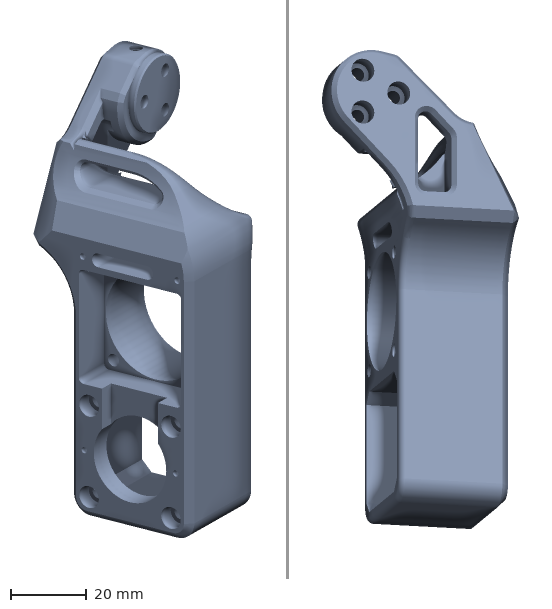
import cadquery as cq
import math

TOTAL_WIDTH = 51.15
TOTAL_HEIGHT = 117.7
BODY_LEFT = 13.0
BODY_DEPTH = 30.0
BODY_MID_X = (BODY_LEFT + TOTAL_WIDTH) / 2
BOTTOM_RADIUS = 5.3
FRONT_CHAMFER = 2.0
BACK_RADIUS = 1.6
SIN_45 = math.sin(math.pi / 4)
TAN_22 = math.tan(math.pi / 8)

FLANK_RADIUS = 18.5
FLANK_START_Z = 56.3
FLANK_TIP_X = 1.9
PLATE_BOTTOM_Z = 76.2

RIDGE_Z = 100.2
SHOULDER_TOP_X = 32.9
SHOULDER_TOP_RADIUS = 22.5
SHOULDER_SIDE_RADIUS = 18.5

FRONT_EDGE_Z = 79.4
HOOD_KNEE = (4.0, 86.4)
FRONT_FLANK_MID = (9.1, 92.0)
FRONT_RIDGE = (12.3, 99.5)
RIDGE_FRONT_Y = 13.9
RIDGE_EDGE_MIN_Y = 15.1
BACK_FLANK_RADIUS = 25.0
BACK_EDGE_RADIUS = 2.0
BACK_BEND_RADIUS = 24.0

HEAD_Y = 40.0
HEAD_RADIUS = 11.5
HEAD_Z = TOTAL_HEIGHT - HEAD_RADIUS
PLATE_THICKNESS = 6.3
HEAD_THICKNESS = 12.1
PAD_RADIUS = 14.5
PLATE_CHAMFER = 1.2
NECK_CHAMFER = 1.5
STEP_CORNER = (25.8, 109.2)
STEP_CHAMFER = 1.3
BOSS_RADIUS = 10.85
BOSS_END_X = 14.2
BOSS_CHAMFER = 0.4
HEAD_FLAT_ANGLE = math.radians(12)
HEAD_SHOULDER = (33.5, 116.6)
HEAD_SHOULDER_RADIUS = 3.0
NECK_BLEND_START = (18.6, 102.4)
NECK_BLEND_MID = (16.3, 100.6)
ROOT_RADIUS = 2.0

ARM_BOLT_CIRCLE_RADIUS = 6.5
ARM_BOLT_DIAMETER = 3.7
BOLT_HEAD_DIAMETER = 6.2
ARM_BOLT_HEAD_DEPTH = 6.0
CROSS_HOLE_X = 7.2
CROSS_HOLE_DIAMETER = 2.4
CROSS_HOLE_MOUTH_DIAMETER = 3.6
CROSS_HOLE_MOUTH_DEPTH = 1.0

WINDOW_CHAMFER = 1.2
WINDOW_CORNER = 2.0
WINDOW_MIN_Y = 18.9
WINDOW_MAX_Y = 27.9
WINDOW_BOTTOM_Z = 80.4
WINDOW_SHOULDER_Z = 95.9
WINDOW_TOP_Z = 101.9

CORNER_LOW = (0, 2.2, 76.2)
CORNER_HIGH = (0, 13.2, 98.6)
CORNER_FRONT = (6, 0, 78)

SLOT_BOTTOM_LEFT = (13.4, 90.0)
SLOT_BOTTOM_RIGHT = (34.0, 90.0)
SLOT_NOSE = (35.5, 91.6)
SLOT_SHOULDER_END = (34.6, 93.0)
SLOT_SHOULDER_MID = (30.4, 94.7)
SLOT_SHOULDER_START = (25.4, 95.4)
SLOT_TOP_LEFT = (10.4, 95.4)
SLOT_LEFT = (8.9, 94.4)
SLOT_LEFT_LOW = (8.9, 93.0)
SLOT_HEEL_MID = (10.5, 91.0)
SLOT_REACH = 24.0
SLOT_CHAMFER = 1.1

UPPER_Z = 54.2
UPPER_BORE = 31.4
UPPER_POCKET = 32.5
UPPER_POCKET_DEPTH = 12.0
UPPER_POCKET_CORNER = 1.5
UPPER_HOLE_PITCH = 26.5
UPPER_HOLE_DIAMETER = 3.5

LOWER_Z = 19.1
LOWER_BORE = 23.0
LOWER_WALL = 6.0
LOWER_CAVITY = 32.5
LOWER_CAVITY_CORNER = 3.0
LOWER_HOLE_PITCH = 26.0
LOWER_HOLE_DIAMETER = 3.8
LOWER_HEAD_DEPTH = 4.5
PIN_PITCH = 29.0
PIN_DIAMETER = 1.7
CHANNEL_WIDTH = 17.8
CHANNEL_DEPTH = 4.3

CABLE_SLOT_X = 29.7
CABLE_SLOT_Z = 74.2
CABLE_SLOT_LENGTH = 19.4
CABLE_SLOT_HEIGHT = 3.9
PILOT_PITCH = 30.0
PILOT_DIAMETER = 1.8
PILOT_DEPTH = 5.0


def yz_plane(x):
    """Sketch plane at a given X with local axes (Y, Z), normal +X."""
    return cq.Workplane("YZ", origin=(x, 0, 0))


def front_plane(y=0.0):
    """Sketch plane at a given Y with local axes (X, Z); extrude(-d) runs toward +Y."""
    return cq.Workplane("XZ", origin=(0, y, 0))


def head_point(angle, radius=HEAD_RADIUS):
    """Point (Y, Z) on a circle about the head axis."""
    return HEAD_Y + radius * math.cos(angle), HEAD_Z + radius * math.sin(angle)


def around(y, z):
    """Selector for edges along X close to the point (Y, Z)."""
    return cq.selectors.BoxSelector((-1, y - 1, z - 1), (TOTAL_WIDTH, y + 1, z + 1))


def square_points(mid_z, pitch):
    """Corners (X, Z) of a square centred on the body."""
    half = pitch / 2
    return [(BODY_MID_X + i * half, mid_z + j * half) for i in (-1, 1) for j in (-1, 1)]


def drill(points, diameter, depth):
    """Cylinders running from the front face toward +Y."""
    return front_plane().pushPoints(points).circle(diameter / 2).extrude(-depth)


TANGENT = head_point(-math.pi / 4)
BEND_CORNER_Z = TANGENT[1] - (TANGENT[0] - BODY_DEPTH)
BEND_REACH = BACK_BEND_RADIUS * TAN_22
BEND_START_Z = BEND_CORNER_Z - BEND_REACH
BEND_END = (BODY_DEPTH + BEND_REACH * SIN_45, BEND_CORNER_Z + BEND_REACH * SIN_45)


def bend_point(y):
    """Point of the bend arc at a given Y."""
    rise = math.sqrt(BACK_BEND_RADIUS ** 2 - (BODY_DEPTH + BACK_BEND_RADIUS - y) ** 2)
    return y, BEND_START_Z + rise


def bend_at_height(z):
    """Point of the bend arc at a given Z."""
    run = math.sqrt(BACK_BEND_RADIUS ** 2 - (z - BEND_START_Z) ** 2)
    return BODY_DEPTH + BACK_BEND_RADIUS - run, z


def front_silhouette():
    """Body outline in XZ: flanked left side, rounded bottom, sloped right shoulder."""
    flank_x = BODY_LEFT - FLANK_RADIUS

    def flank_point(x):
        return x, FLANK_START_Z + math.sqrt(FLANK_RADIUS ** 2 - (x - flank_x) ** 2)

    top_reach = SHOULDER_TOP_RADIUS * TAN_22
    side_reach = SHOULDER_SIDE_RADIUS * TAN_22
    side_z = RIDGE_Z - (TOTAL_WIDTH - SHOULDER_TOP_X)
    top_start = SHOULDER_TOP_X - top_reach
    top_end = (SHOULDER_TOP_X + top_reach * SIN_45, RIDGE_Z - top_reach * SIN_45)
    side_start = (TOTAL_WIDTH - side_reach * SIN_45, side_z + side_reach * SIN_45)
    profile = (
        front_plane()
        .moveTo(BODY_LEFT, 0)
        .lineTo(BODY_LEFT, FLANK_START_Z)
        .threePointArc(flank_point((BODY_LEFT + FLANK_TIP_X) / 2), flank_point(FLANK_TIP_X))
        .lineTo(0, PLATE_BOTTOM_Z)
        .lineTo(0, RIDGE_Z)
        .lineTo(top_start, RIDGE_Z)
        .tangentArcPoint(top_end, relative=False)
        .lineTo(*side_start)
        .tangentArcPoint((TOTAL_WIDTH, side_z - side_reach), relative=False)
        .lineTo(TOTAL_WIDTH, 0)
        .close()
    )
    block = profile.extrude(-HEAD_Y)
    block = block.edges("|Y").edges("<Z").fillet(BOTTOM_RADIUS)
    return block.faces("<Y").edges().chamfer(FRONT_CHAMFER)


def head_clearance(start_x):
    """Cylinder about the head axis that shapes the back flank of the hood."""
    return yz_plane(start_x).center(HEAD_Y, HEAD_Z).circle(BACK_FLANK_RADIUS).extrude(TOTAL_WIDTH)


def hood_section():
    """Constant YZ section of the body, extruded along X."""
    section = (
        yz_plane(0)
        .moveTo(0, 0)
        .lineTo(0, FRONT_EDGE_Z)
        .lineTo(*HOOD_KNEE)
        .threePointArc(FRONT_FLANK_MID, FRONT_RIDGE)
        .lineTo(RIDGE_FRONT_Y, RIDGE_Z)
        .lineTo(BEND_END[0], RIDGE_Z)
        .lineTo(*BEND_END)
        .threePointArc(bend_point((BODY_DEPTH + BEND_END[0]) / 2), (BODY_DEPTH, BEND_START_Z))
        .lineTo(BODY_DEPTH, 0)
        .close()
        .extrude(TOTAL_WIDTH)
    )
    section = section.cut(head_clearance(0))
    back_edge = cq.selectors.BoxSelector(
        (0, BODY_DEPTH + 1, BEND_START_Z), (TOTAL_WIDTH, HEAD_Y, HEAD_Z)
    )
    return section.edges("|X").edges(back_edge).fillet(BACK_EDGE_RADIUS)


def hood_slot():
    """Slot through the hood along Y; its upper edge follows the shoulder."""
    return (
        front_plane()
        .moveTo(*SLOT_BOTTOM_LEFT)
        .lineTo(*SLOT_BOTTOM_RIGHT)
        .threePointArc(SLOT_NOSE, SLOT_SHOULDER_END)
        .threePointArc(SLOT_SHOULDER_MID, SLOT_SHOULDER_START)
        .lineTo(*SLOT_TOP_LEFT)
        .threePointArc(SLOT_LEFT, SLOT_LEFT_LOW)
        .threePointArc(SLOT_HEEL_MID, SLOT_BOTTOM_LEFT)
        .close()
        .extrude(-SLOT_REACH)
    )


def hood():
    """Body with rounded back outline and slot, without the part that the arm plate replaces."""
    block = front_silhouette().intersect(hood_section())
    behind = cq.selectors.BoxSelector((0.1, RIDGE_EDGE_MIN_Y, -1), (TOTAL_WIDTH + 1, HEAD_Y, HEAD_Z))
    bend_lines = cq.selectors.BoxSelector(
        (BODY_LEFT, BODY_DEPTH - 1, BEND_START_Z - 1), (SHOULDER_TOP_X, HEAD_Y, BEND_END[1])
    )
    block = block.edges(behind - bend_lines).edges("not |Y").fillet(BACK_RADIUS)
    plate_space = cq.Workplane("XY", origin=(0, 0, PLATE_BOTTOM_Z)).rect(2 * PLATE_THICKNESS, 2 * HEAD_Y)
    block = block.cut(plate_space.extrude(HEAD_Z))
    block = block.cut(hood_slot())
    mouths = cq.selectors.BoxSelector(
        (SLOT_LEFT[0] - 1, HOOD_KNEE[0], SLOT_BOTTOM_LEFT[1] - 0.5),
        (SLOT_NOSE[0] + 1, SLOT_REACH, SLOT_TOP_LEFT[1] + 0.5),
    )
    return block.edges(mouths).edges("not |Y").chamfer(SLOT_CHAMFER)


def arm_block(start_x, end_x):
    """Arm outline extruded from start_x to end_x, bottom edge resting on the body."""
    heel = bend_at_height(PLATE_BOTTOM_Z)
    block = (
        yz_plane(start_x)
        .moveTo(0, PLATE_BOTTOM_Z)
        .lineTo(0, FRONT_EDGE_Z)
        .lineTo(*HOOD_KNEE)
        .threePointArc(FRONT_FLANK_MID, FRONT_RIDGE)
        .threePointArc(NECK_BLEND_MID, NECK_BLEND_START)
        .lineTo(*HEAD_SHOULDER)
        .lineTo(*head_point(math.pi / 2 + HEAD_FLAT_ANGLE))
        .threePointArc(head_point(math.pi / 4), TANGENT)
        .lineTo(*BEND_END)
        .threePointArc(bend_point((heel[0] + BEND_END[0]) / 2), heel)
        .close()
        .extrude(end_x - start_x)
    )
    return block.edges(around(*HEAD_SHOULDER)).fillet(HEAD_SHOULDER_RADIUS)


def arm_plate():
    """Thin arm plate with both outline edges bevelled behind the hood ridge."""
    behind_ridge = cq.selectors.BoxSelector(
        (-1, FRONT_RIDGE[0] + 1, PLATE_BOTTOM_Z + 1), (1, 2 * HEAD_Y, 2 * HEAD_Z)
    )
    neck = cq.selectors.BoxSelector(
        (PLATE_THICKNESS - 1, NECK_BLEND_START[0] + 1, BEND_END[1] + 1),
        (PLATE_THICKNESS + 1, HEAD_Y + 5, 2 * HEAD_Z),
    )
    plate = arm_block(0, PLATE_THICKNESS)
    plate = plate.edges(behind_ridge).chamfer(PLATE_CHAMFER)
    return plate.edges(neck).edges("not |Y").chamfer(NECK_CHAMFER)


def arm_foot():
    """Concave fillet between the arm plate and the back flank of the hood."""
    relief = head_clearance(PLATE_THICKNESS).faces("<X").edges().fillet(ROOT_RADIUS)
    foot = arm_block(PLATE_THICKNESS, PLATE_THICKNESS + ROOT_RADIUS)
    return foot.intersect(head_clearance(PLATE_THICKNESS)).cut(relief)


def head_pad():
    """Thick round pad of the head, trimmed by the arm outline, with the boss on top."""
    start = PLATE_THICKNESS - NECK_CHAMFER
    disc = yz_plane(start).center(HEAD_Y, HEAD_Z).circle(PAD_RADIUS).extrude(HEAD_THICKNESS - start)
    pad = disc.intersect(arm_block(start, HEAD_THICKNESS))
    pad = pad.edges("|X").edges(around(*STEP_CORNER)).chamfer(STEP_CHAMFER)
    pad = pad.faces(">X").edges().chamfer(PLATE_CHAMFER)
    boss = (
        yz_plane(HEAD_THICKNESS)
        .center(HEAD_Y, HEAD_Z)
        .circle(BOSS_RADIUS)
        .extrude(BOSS_END_X - HEAD_THICKNESS)
        .faces(">X")
        .edges()
        .chamfer(BOSS_CHAMFER)
    )
    return pad.union(boss)


def corner_cut():
    """Slab outside the plane that bevels the hood corner down to the arm plate face."""
    low = cq.Vector(*CORNER_LOW)
    along = cq.Vector(*CORNER_HIGH) - low
    across = cq.Vector(*CORNER_FRONT) - low
    plane = cq.Plane(origin=CORNER_LOW, xDir=along.toTuple(), normal=across.cross(along).toTuple())
    size = 2 * RIDGE_Z
    return cq.Workplane(plane).rect(size, size).extrude(HEAD_Y)


def arm_window():
    """Blind window through the plate and its foot, with a bevelled rim."""
    shoulder_y = WINDOW_MIN_Y + WINDOW_TOP_Z - WINDOW_SHOULDER_Z
    outline = [
        (WINDOW_MIN_Y, WINDOW_BOTTOM_Z),
        (WINDOW_MAX_Y, WINDOW_BOTTOM_Z),
        (WINDOW_MAX_Y, WINDOW_TOP_Z),
        (shoulder_y, WINDOW_TOP_Z),
        (WINDOW_MIN_Y, WINDOW_SHOULDER_Z),
    ]
    opening = yz_plane(0).polyline(outline).close().extrude(PLATE_THICKNESS + ROOT_RADIUS)
    opening = opening.edges("|X").fillet(WINDOW_CORNER)
    rim = opening.faces("<X").wires().toPending().offset2D(WINDOW_CHAMFER)
    rim = yz_plane(0).add(rim.ctx.pendingWires).toPending().extrude(WINDOW_CHAMFER, taper=45)
    return opening.union(rim)


def arm_holes():
    """Three counterbored bolt holes and one cross hole with a wider mouth."""
    points = [head_point(a, ARM_BOLT_CIRCLE_RADIUS) for a in (math.pi, math.pi / 3, -math.pi / 3)]
    holes = yz_plane(0).pushPoints(points).circle(ARM_BOLT_DIAMETER / 2).extrude(BOSS_END_X)
    heads = yz_plane(0).pushPoints(points).circle(BOLT_HEAD_DIAMETER / 2).extrude(ARM_BOLT_HEAD_DEPTH)
    top = cq.Workplane("XY", origin=(CROSS_HOLE_X, HEAD_Y, HEAD_Z + HEAD_RADIUS))
    cross = top.circle(CROSS_HOLE_DIAMETER / 2).extrude(-2 * PAD_RADIUS)
    mouth = top.circle(CROSS_HOLE_MOUTH_DIAMETER / 2).extrude(-CROSS_HOLE_MOUTH_DEPTH)
    return holes.union(heads).union(cross).union(mouth)


def upper_bay():
    """Square front pocket, large bore and four corner holes."""
    pocket = (
        front_plane()
        .center(BODY_MID_X, UPPER_Z)
        .rect(UPPER_POCKET, UPPER_POCKET)
        .extrude(-UPPER_POCKET_DEPTH)
        .edges("|Y")
        .fillet(UPPER_POCKET_CORNER)
    )
    bore = drill([(BODY_MID_X, UPPER_Z)], UPPER_BORE, HEAD_Y)
    holes = drill(square_points(UPPER_Z, UPPER_HOLE_PITCH), UPPER_HOLE_DIAMETER, HEAD_Y)
    return pocket.union(bore).union(holes)


def lower_bay():
    """Bored front wall with a square cavity behind it, open at the back."""
    cavity = (
        front_plane(LOWER_WALL)
        .center(BODY_MID_X, LOWER_Z)
        .rect(LOWER_CAVITY, LOWER_CAVITY)
        .extrude(LOWER_WALL - BODY_DEPTH)
        .edges("|Y")
        .chamfer(LOWER_CAVITY_CORNER)
    )
    channel = (
        front_plane()
        .center(BODY_MID_X, (LOWER_Z + UPPER_Z) / 2)
        .rect(CHANNEL_WIDTH, UPPER_Z - LOWER_Z)
        .extrude(-CHANNEL_DEPTH)
    )
    bolt_points = square_points(LOWER_Z, LOWER_HOLE_PITCH)
    pin_points = [(BODY_MID_X + side * PIN_PITCH / 2, LOWER_Z) for side in (-1, 1)]
    bay = cavity.union(channel)
    bay = bay.union(drill([(BODY_MID_X, LOWER_Z)], LOWER_BORE, BODY_DEPTH))
    bay = bay.union(drill(bolt_points, LOWER_HOLE_DIAMETER, BODY_DEPTH))
    bay = bay.union(drill(bolt_points, BOLT_HEAD_DIAMETER, LOWER_HEAD_DEPTH))
    return bay.union(drill(pin_points, PIN_DIAMETER, BODY_DEPTH))


def cable_slot():
    """Slot through the body above the upper bay."""
    plane = front_plane().center(CABLE_SLOT_X, CABLE_SLOT_Z)
    return plane.slot2D(CABLE_SLOT_LENGTH, CABLE_SLOT_HEIGHT).extrude(-HEAD_Y)


def pilot_holes():
    """Two blind holes beside the cable slot."""
    points = [(BODY_MID_X + side * PILOT_PITCH / 2, CABLE_SLOT_Z) for side in (-1, 1)]
    return drill(points, PILOT_DIAMETER, PILOT_DEPTH)


result = hood().union(arm_plate())
result = result.cut(corner_cut())
result = result.union(arm_foot()).union(head_pad())
for feature in (arm_window, arm_holes, upper_bay, lower_bay, cable_slot, pilot_holes):
    result = result.cut(feature())